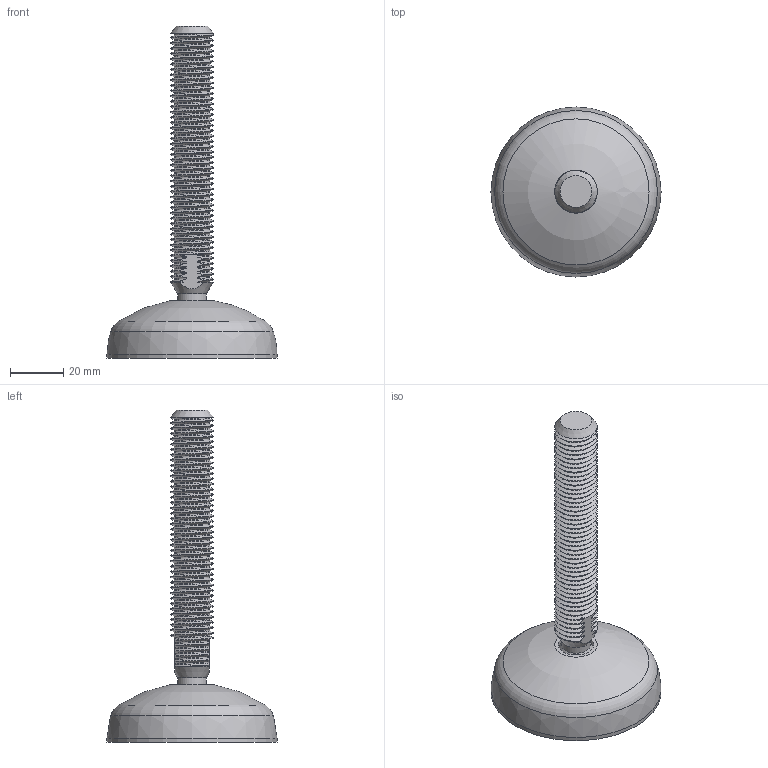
import cadquery as cq
import math


BASE_RADIUS = 32.0
BAND_HEIGHT = 1.5
SHOULDER_LOW_RADIUS = 30.65
SHOULDER_LOW_Z = 9.8
DOME_EDGE_RADIUS = 27.5
DOME_EDGE_Z = 13.9
RIM_RADIUS = 8.0
RIM_Z = 21.6
NECK_HOLE_RADIUS = 13.28 / 2

TOP_Z = 124.98
THREAD_DIAMETER = 16.0
PITCH = 2.0
NECK_RADIUS = 10.88 / 2
NECK_TOP_Z = 24.2
THREAD_START_Z = 28.5
GROOVE_LEAD_IN = 3.9
GROOVE_LEAD_OUT = 3.1
TURNS_PER_SEGMENT = 12
TIP_RADIUS = 12.0 / 2
TIP_CONE_HEIGHT = 2.75
FLAT_WIDTH = 13.0
FLAT_TOP_Z = 39.1

BALL_RADIUS = 14.08 / 2

THREAD_RADIUS = THREAD_DIAMETER / 2
THREAD_DEPTH = 0.6134 * PITCH
ROOT_RADIUS = THREAD_RADIUS - THREAD_DEPTH
GROOVE_ROOT_WIDTH = PITCH / 4
GROOVE_OVERCUT = 0.05
FLANK_TANGENT = math.tan(math.radians(30))
THREAD_END_Z = TOP_Z - TIP_CONE_HEIGHT
BALL_CENTER_Z = RIM_Z - math.sqrt(BALL_RADIUS**2 - NECK_RADIUS**2)


def make_ball():
    return cq.Workplane("XY", origin=(0, 0, BALL_CENTER_Z)).sphere(BALL_RADIUS)


def dome_middle_point():
    """Point halfway along the dome arc, whose centre lies on the Z axis."""
    rim_square = RIM_RADIUS**2 + RIM_Z**2
    edge_square = DOME_EDGE_RADIUS**2 + DOME_EDGE_Z**2
    center_z = (rim_square - edge_square) / (2 * (RIM_Z - DOME_EDGE_Z))
    dome_radius = math.hypot(RIM_RADIUS, RIM_Z - center_z)
    radius = (RIM_RADIUS + DOME_EDGE_RADIUS) / 2
    return radius, center_z + math.sqrt(dome_radius**2 - radius**2)


def make_base():
    body = (
        cq.Workplane("XZ")
        .lineTo(BASE_RADIUS, 0)
        .lineTo(BASE_RADIUS, BAND_HEIGHT)
        .tangentArcPoint((SHOULDER_LOW_RADIUS, SHOULDER_LOW_Z), relative=False)
        .tangentArcPoint((DOME_EDGE_RADIUS, DOME_EDGE_Z), relative=False)
        .threePointArc(dome_middle_point(), (RIM_RADIUS, RIM_Z))
        .lineTo(0, RIM_Z)
        .close()
        .revolve(360, (0, 0), (0, 1))
    )
    neck_hole = (
        cq.Workplane("XY", origin=(0, 0, BALL_CENTER_Z))
        .circle(NECK_HOLE_RADIUS)
        .extrude(RIM_Z - BALL_CENTER_Z)
    )
    return body.cut(make_ball()).cut(neck_hole).solids()


def make_spindle_blank():
    """Neck, lower cone, shank and tapered tip, before threading."""
    return (
        cq.Workplane("XZ")
        .moveTo(0, BALL_CENTER_Z)
        .lineTo(NECK_RADIUS, BALL_CENTER_Z)
        .lineTo(NECK_RADIUS, NECK_TOP_Z)
        .lineTo(THREAD_RADIUS, THREAD_START_Z)
        .lineTo(THREAD_RADIUS, THREAD_END_Z)
        .lineTo(TIP_RADIUS, TOP_Z)
        .lineTo(0, TOP_Z)
        .close()
        .revolve(360, (0, 0), (0, 1))
    )


def make_thread_helix(start_z, min_height):
    """Right-handed helix joined from equal lengths, which keeps the groove quick to cut."""
    segment_height = TURNS_PER_SEGMENT * PITCH
    segment_count = math.ceil(min_height / segment_height)
    edges = []
    for index in range(segment_count):
        center = cq.Vector(0, 0, start_z + index * segment_height)
        edges += cq.Wire.makeHelix(PITCH, segment_height, ROOT_RADIUS, center=center).Edges()
    return cq.Wire.assembleEdges(edges)


def make_thread_groove():
    """Helical groove, trimmed to the length of the shank."""
    start_z = THREAD_START_Z - GROOVE_LEAD_IN
    helix = make_thread_helix(start_z, THREAD_END_Z + GROOVE_LEAD_OUT - start_z)
    outer = THREAD_RADIUS + GROOVE_OVERCUT
    half_root = GROOVE_ROOT_WIDTH / 2
    half_mouth = half_root + (THREAD_DEPTH + GROOVE_OVERCUT) * FLANK_TANGENT
    groove = (
        cq.Workplane("XZ")
        .moveTo(ROOT_RADIUS, start_z - half_root)
        .lineTo(outer, start_z - half_mouth)
        .lineTo(outer, start_z + half_mouth)
        .lineTo(ROOT_RADIUS, start_z + half_root)
        .close()
        .sweep(cq.Workplane(obj=helix), isFrenet=True)
    )
    shank_zone = (
        cq.Workplane("XY", origin=(0, 0, THREAD_START_Z))
        .circle(2 * THREAD_RADIUS)
        .extrude(THREAD_END_Z - THREAD_START_Z)
    )
    return groove.intersect(shank_zone)


def cut_wrench_flats(spindle):
    for side in (-1, 1):
        cutter = (
            cq.Workplane("XY", origin=(0, side * (FLAT_WIDTH + THREAD_RADIUS) / 2, NECK_TOP_Z))
            .box(2 * THREAD_DIAMETER, THREAD_RADIUS, FLAT_TOP_Z - NECK_TOP_Z, centered=(True, True, False))
        )
        spindle = spindle.cut(cutter)
    return spindle


def make_spindle():
    spindle = make_spindle_blank().cut(make_thread_groove())
    spindle = cut_wrench_flats(spindle)
    return spindle.union(make_ball()).solids()


base = make_base()
spindle = make_spindle()
result = cq.Compound.makeCompound([base.val(), spindle.val()])